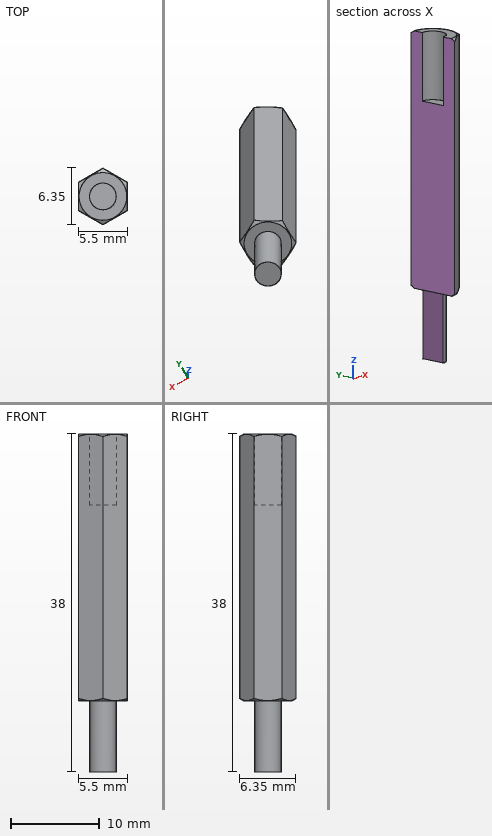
import cadquery as cq
import math

total_length = 38.0
stud_length = 7.98
sleeve_length = total_length - stud_length
across_flats = 5.5
across_corners = across_flats / math.cos(math.radians(30))
thread_diameter = 3.0

end_face_diameter = 5.35
chamfer_angle = 30.0
corner_chamfer_width = (across_corners - end_face_diameter) / 2
corner_chamfer_height = corner_chamfer_width * math.tan(math.radians(chamfer_angle))

hole_depth = stud_length


def make_chamfer_envelope():
    """Round bar with chamfered ends, just wide enough to hold the hexagon corners."""
    return (
        cq.Workplane("XY")
        .circle(across_corners / 2)
        .extrude(sleeve_length)
        .faces("<Z or >Z")
        .chamfer(corner_chamfer_height, corner_chamfer_width)
    )


def make_sleeve():
    """Hexagonal sleeve with corners on the Y axis and a blind hole in its top face."""
    hexagon = (
        cq.Workplane("XY")
        .transformed(rotate=(0, 0, 90))
        .polygon(6, across_corners)
        .extrude(sleeve_length)
    )
    hole = (
        cq.Workplane("XY", origin=(0, 0, sleeve_length))
        .circle(thread_diameter / 2)
        .extrude(-hole_depth)
    )
    return hexagon.intersect(make_chamfer_envelope()).cut(hole)


def make_stud():
    """Plain cylindrical stud hanging from the bottom face of the sleeve."""
    return cq.Workplane("XY").circle(thread_diameter / 2).extrude(-stud_length)


sleeve = make_sleeve()
stud = make_stud()

result = cq.Compound.makeCompound([sleeve.val(), stud.val()])